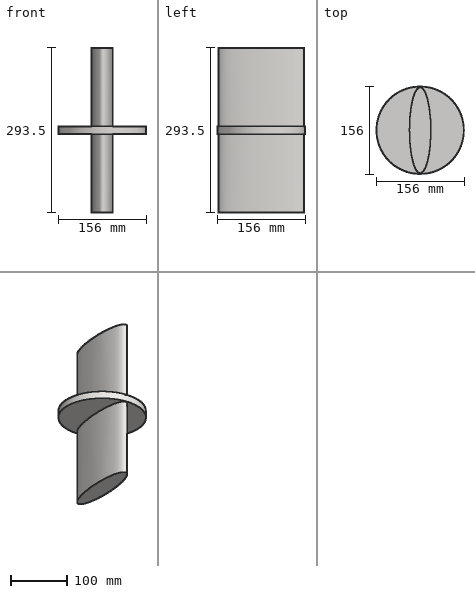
import cadquery as cq

total_height = 293.5
disc_diameter = 156.0
disc_thickness = 13.5

blade_width = 38.2
blade_length = 152.5

blade_height = (total_height - disc_thickness) / 2


def make_disc():
    """Round plate between the two blades."""
    return (
        cq.Workplane("XY", origin=(0, 0, -disc_thickness / 2))
        .circle(disc_diameter / 2)
        .extrude(disc_thickness)
    )


def make_blade(side):
    """Elliptical blade standing on one disc face: side +1 is up, -1 is down."""
    return (
        cq.Workplane("XY", origin=(0, 0, side * disc_thickness / 2))
        .ellipse(blade_width / 2, blade_length / 2)
        .extrude(side * blade_height)
    )


disc = make_disc()
blades = [make_blade(side) for side in (1, -1)]

result = cq.Compound.makeCompound([disc.val(), *[blade.val() for blade in blades]])